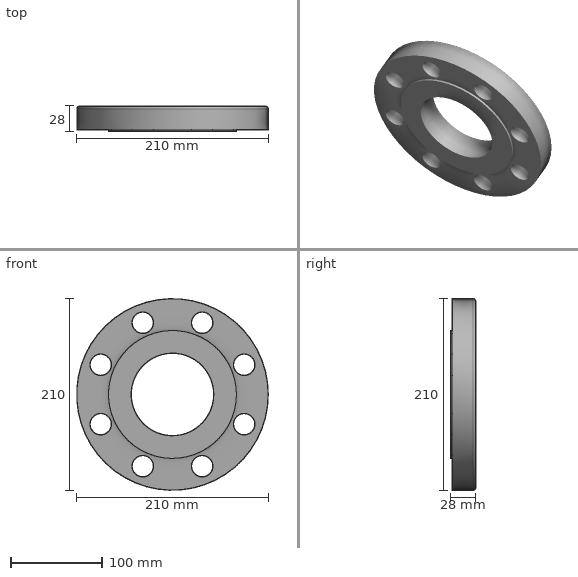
import cadquery as cq

outer_diameter = 210.0
total_thickness = 28.0
bore_diameter = 90.0
back_edge_radius = 3.0

face_diameter = 140.0
face_height = 2.0

bolt_count = 8
bolt_hole_diameter = 23.0
bolt_circle_diameter = 170.0
first_bolt_angle = 180 / bolt_count

disc_thickness = total_thickness - face_height


def make_disc():
    """Disc from Y = 0 to its rounded back edge on the +Y side."""
    disc = cq.Workplane("XZ").circle(outer_diameter / 2).extrude(-disc_thickness)
    return disc.faces(">Y").edges().fillet(back_edge_radius)


def make_raised_face():
    return cq.Workplane("XZ").circle(face_diameter / 2).extrude(face_height)


def make_holes():
    """Cutters for the bore and the bolt holes, through the full thickness."""
    front_plane = cq.Workplane("XZ", origin=(0, -face_height, 0))
    bore = front_plane.circle(bore_diameter / 2).extrude(-total_thickness)
    bolt_holes = (
        front_plane
        .polarArray(bolt_circle_diameter / 2, first_bolt_angle, 360, bolt_count)
        .circle(bolt_hole_diameter / 2)
        .extrude(-total_thickness)
    )
    return bore.union(bolt_holes)


result = make_disc().union(make_raised_face()).cut(make_holes())